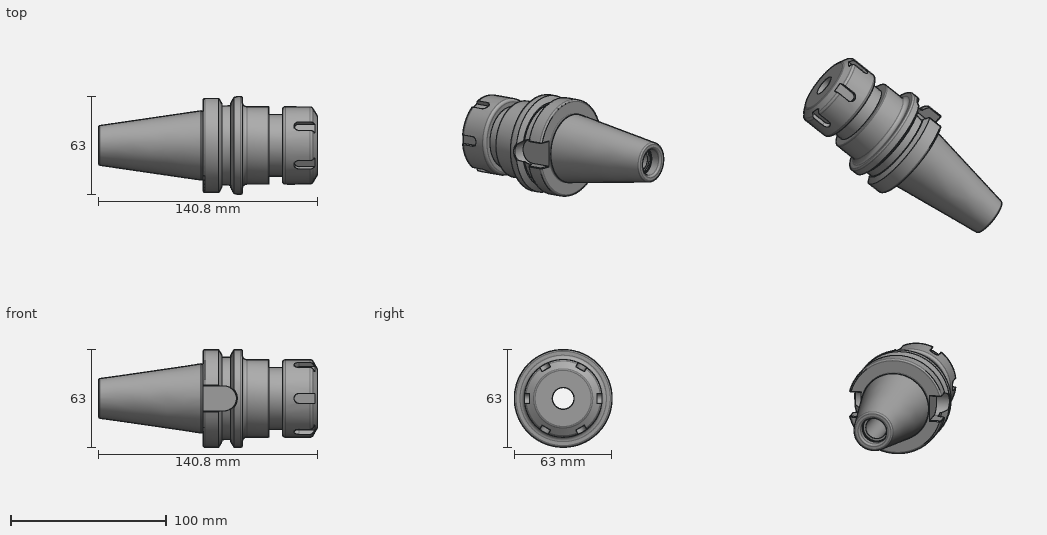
import cadquery as cq
import math


TOTAL_LENGTH = 140.8
GAUGE_X = 65.8
FLANGE_START = 67.2
GROOVE_OUTER_START = 77.2
GROOVE_FLOOR_END = 84.8
FLANGE_END = 92.4
BODY_END = 109.4
NUT_START = 118.1
NECK_END = 135.7

TOLERANCE = 0.01

GAUGE_DIA = 44.6
RELIEF_DIA = 44.2
FLANGE_DIA = 63.0
GROOVE_DIA = 53.2
GROOVE_STEP_DIA = 55.2
BODY_DIA = 50.0
NECK_DIA = 40.0
NUT_DIA = BODY_DIA
NUT_FACE_DIA = 37.2
BORE_DIA = 13.8
COUNTERBORE_DIA = 17.0
RING_GROOVE_DIA = 17.5

TAPER_RATIO = 7 / 24
GROOVE_ANGLE = 30.0

SMALL_END_FILLET = 1.1
MOUTH_FILLET = 1.4
FLANGE_FRONT_FILLET = 1.1
RELIEF_FILLET = 0.35
FLANGE_BACK_FILLET = 1.1
BODY_FILLET = 2.8
BODY_END_FILLET = 0.5
COUNTERBORE_DEPTH = 9.3
RING_GROOVE_START = 7.2
RING_GROOVE_END = 8.2

SLOT_WIDTH = 16.0
SLOT_FLOOR_Y = 22.5
SLOT_END_X = 88.5
SLOT_CHAMFER = 0.5

NUT_FILLET = 2.0
NUT_CONE_ANGLE = 60.0
NOTCH_COUNT = 6
NOTCH_WIDTH = 6.3
NOTCH_START = 125.6
NOTCH_FLOOR = 21.7


def revolve(profile):
    """Turn a closed profile (X along the axis, Y as radius) into a solid."""
    return profile.close().revolve(360, (0, 0, 0), (1, 0, 0))


def cylinder(start, end, diameter):
    return cq.Workplane("YZ").workplane(offset=start).circle(diameter / 2).extrude(end - start)


def edge_at(solid, x, radius):
    """Circular edge of the solid at station x with the given radius."""
    margin = TOLERANCE
    box = cq.selectors.BoxSelector(
        (x - margin, -radius - margin, -radius - margin),
        (x + margin, radius + margin, radius + margin),
        boundingbox=True,
    )
    ring = solid.edges(box)
    return ring.filter(lambda edge: abs(edge.radius() - radius) < margin)


def drive_slot():
    """Round-ended slot through one side of the flange, on the -Y side."""
    half = SLOT_WIDTH / 2
    depth = FLANGE_DIA / 2 - SLOT_FLOOR_Y
    outline = (
        cq.Workplane("XZ")
        .moveTo(FLANGE_START, -half)
        .lineTo(SLOT_END_X - half, -half)
        .threePointArc((SLOT_END_X, 0), (SLOT_END_X - half, half))
        .lineTo(FLANGE_START, half)
        .close()
    )
    return outline.extrude(depth).translate((0, -SLOT_FLOOR_Y, 0))


def is_slot_rim(edge):
    """True for slot edges on the front face, the front fillet and the rim of the flange."""
    box = edge.BoundingBox()
    half = SLOT_WIDTH / 2
    margin = TOLERANCE
    on_slot_wall = max(abs(box.zmin), abs(box.zmax)) < half + margin and box.xmax < SLOT_END_X + margin
    inner_y = min(abs(box.ymin), abs(box.ymax))
    outer_y = max(abs(box.ymin), abs(box.ymax))
    along_wall = abs(edge.Center().z) > half - margin
    on_front = FLANGE_START - margin < box.xmin and box.xmax < GROOVE_OUTER_START + margin
    on_back = box.xmin > GROOVE_FLOOR_END + margin and inner_y > GROOVE_STEP_DIA / 2
    return on_slot_wall and outer_y > SLOT_FLOOR_Y + margin and (on_front and along_wall or on_back)


def make_holder():
    small_end_radius = (GAUGE_DIA - GAUGE_X * TAPER_RATIO) / 2
    flange_radius = FLANGE_DIA / 2
    groove_radius = GROOVE_DIA / 2
    step_radius = GROOVE_STEP_DIA / 2
    wall_run = (flange_radius - step_radius) * math.tan(math.radians(GROOVE_ANGLE))
    groove_floor_start = GROOVE_OUTER_START + wall_run
    groove_outer_end = GROOVE_FLOOR_END + wall_run
    solid = revolve(cq.Workplane("XY").polyline([
        (0, 0),
        (0, small_end_radius),
        (GAUGE_X, GAUGE_DIA / 2),
        (GAUGE_X, RELIEF_DIA / 2),
        (FLANGE_START, RELIEF_DIA / 2),
        (FLANGE_START, flange_radius),
        (GROOVE_OUTER_START, flange_radius),
        (groove_floor_start, step_radius),
        (groove_floor_start, groove_radius),
        (GROOVE_FLOOR_END, groove_radius),
        (GROOVE_FLOOR_END, step_radius),
        (groove_outer_end, flange_radius),
        (FLANGE_END, flange_radius),
        (FLANGE_END, BODY_DIA / 2),
        (BODY_END, BODY_DIA / 2),
        (BODY_END, NECK_DIA / 2),
        (NECK_END, NECK_DIA / 2),
        (NECK_END, 0),
    ]))
    solid = edge_at(solid, 0, small_end_radius).fillet(SMALL_END_FILLET)
    solid = edge_at(solid, FLANGE_START, flange_radius).fillet(FLANGE_FRONT_FILLET)
    solid = edge_at(solid, FLANGE_START, RELIEF_DIA / 2).fillet(RELIEF_FILLET)
    solid = edge_at(solid, FLANGE_END, flange_radius).fillet(FLANGE_BACK_FILLET)
    solid = edge_at(solid, FLANGE_END, BODY_DIA / 2).fillet(BODY_FILLET)
    solid = edge_at(solid, BODY_END, BODY_DIA / 2).fillet(BODY_END_FILLET)

    solid = solid.cut(cylinder(0, NECK_END, BORE_DIA))
    solid = solid.cut(cylinder(0, COUNTERBORE_DEPTH, COUNTERBORE_DIA))
    solid = solid.cut(cylinder(RING_GROOVE_START, RING_GROOVE_END, RING_GROOVE_DIA))
    solid = edge_at(solid, 0, COUNTERBORE_DIA / 2).fillet(MOUTH_FILLET)

    for angle in (0, 180):
        solid = solid.cut(drive_slot().rotate((0, 0, 0), (1, 0, 0), angle))
    return solid.edges().filter(is_slot_rim).chamfer(SLOT_CHAMFER)


def nut_notch():
    """Wrench notch with a round inner end and a flat floor, on the -Y side."""
    half = NOTCH_WIDTH / 2
    depth = NUT_DIA / 2 - NOTCH_FLOOR
    outline = (
        cq.Workplane("XZ")
        .moveTo(TOTAL_LENGTH, half)
        .lineTo(NOTCH_START + half, half)
        .threePointArc((NOTCH_START, 0), (NOTCH_START + half, -half))
        .lineTo(TOTAL_LENGTH, -half)
        .close()
    )
    return outline.extrude(depth).translate((0, -NOTCH_FLOOR, 0))


def make_nut():
    cone_length = (NUT_DIA - NUT_FACE_DIA) / 2 / math.tan(math.radians(NUT_CONE_ANGLE))
    cone_start = TOTAL_LENGTH - cone_length
    solid = revolve(cq.Workplane("XY").polyline([
        (NUT_START, 0),
        (NUT_START, NUT_DIA / 2),
        (cone_start, NUT_DIA / 2),
        (TOTAL_LENGTH, NUT_FACE_DIA / 2),
        (TOTAL_LENGTH, 0),
    ]))
    solid = edge_at(solid, NUT_START, NUT_DIA / 2).fillet(NUT_FILLET)
    solid = edge_at(solid, cone_start, NUT_DIA / 2).fillet(NUT_FILLET)

    solid = edge_at(solid, TOTAL_LENGTH, NUT_FACE_DIA / 2).fillet(NUT_FILLET)

    solid = solid.cut(cylinder(NUT_START, NECK_END, NECK_DIA))
    solid = solid.cut(cylinder(NUT_START, TOTAL_LENGTH, BORE_DIA))

    for index in range(NOTCH_COUNT):
        angle = index * 360 / NOTCH_COUNT
        solid = solid.cut(nut_notch().rotate((0, 0, 0), (1, 0, 0), angle))
    return solid


holder = make_holder()
nut = make_nut()

result = cq.Compound.makeCompound([holder.val(), nut.val()])